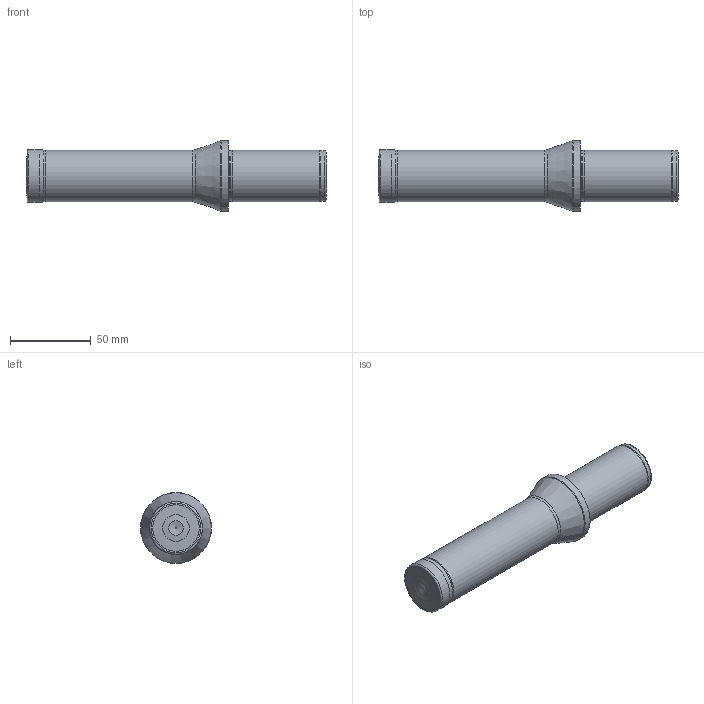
import cadquery as cq
import math


head_diameter = 32.7
head_back_diameter = 32.2
body_diameter = 32.0
relief_diameter = 31.5
flange_diameter = 44.0

ring_crest_radius = 4.5
ring_foot_radius = 8.2
face_cone_radius = 14.4
center_cone_depth = 1.0
center_flat_radius = 0.4
ring_foot_x = 0.45
face_x = 0.7
head_corner_radius = 1.0
head_land_end_x = 8.2
joint_x = 11.0

lead_in_diameter = 31.9
lead_in_length = 0.9
cone_start_x = 103.5
cone_blend_length = 1.7
cone_blend_rise = 0.4
cone_end_x = 120.5
cone_end_diameter = 43.8
flange_edge_break = 0.6
flange_end_x = 125.5
neck_fillet_radius = 0.6
neck_end_x = 126.9
neck_taper_end_x = 128.0
clamp_end_x = 182.1
end_step_x = 182.7
end_corner_radius = 1.0
overall_length = 186.0

ARC_MID = math.sqrt(0.5)


def turned(profile):
    """Revolve a closed (X, radius) profile about the X axis."""
    return profile.close().revolve(360, (0, 0, 0), (1, 0, 0))


def make_head():
    head_radius = head_diameter / 2
    corner = head_corner_radius
    corner_center = (face_x + corner, head_radius - corner)
    profile = (
        cq.Workplane("XY")
        .moveTo(center_cone_depth, 0)
        .lineTo(center_cone_depth, center_flat_radius)
        .lineTo(0, ring_crest_radius)
        .lineTo(ring_foot_x, ring_foot_radius)
        .lineTo(face_x, face_cone_radius)
        .lineTo(face_x, corner_center[1])
        .threePointArc(
            (corner_center[0] - corner * ARC_MID, corner_center[1] + corner * ARC_MID),
            (corner_center[0], head_radius),
        )
        .lineTo(head_land_end_x, head_radius)
        .lineTo(joint_x, head_back_diameter / 2)
        .lineTo(joint_x, 0)
    )
    return turned(profile)


def make_holder():
    body_radius = body_diameter / 2
    relief_radius = relief_diameter / 2
    flange_radius = flange_diameter / 2
    fillet = neck_fillet_radius
    fillet_center = (flange_end_x + fillet, relief_radius + fillet)
    corner = end_corner_radius
    corner_center = (overall_length - corner, relief_radius - corner)
    profile = (
        cq.Workplane("XY")
        .moveTo(joint_x, 0)
        .lineTo(joint_x, lead_in_diameter / 2)
        .lineTo(joint_x + lead_in_length, body_radius)
        .lineTo(cone_start_x, body_radius)
        .tangentArcPoint((cone_blend_length, cone_blend_rise))
        .lineTo(cone_end_x, cone_end_diameter / 2)
        .lineTo(cone_end_x + flange_edge_break, flange_radius)
        .lineTo(flange_end_x, flange_radius)
        .lineTo(flange_end_x, fillet_center[1])
        .threePointArc(
            (fillet_center[0] - fillet * ARC_MID, fillet_center[1] - fillet * ARC_MID),
            (fillet_center[0], relief_radius),
        )
        .lineTo(neck_end_x, relief_radius)
        .lineTo(neck_taper_end_x, body_radius)
        .lineTo(clamp_end_x, body_radius)
        .lineTo(end_step_x, relief_radius)
        .lineTo(corner_center[0], relief_radius)
        .threePointArc(
            (corner_center[0] + corner * ARC_MID, corner_center[1] + corner * ARC_MID),
            (overall_length, corner_center[1]),
        )
        .lineTo(overall_length, 0)
    )
    return turned(profile)


head = make_head()
holder = make_holder()
result = cq.Compound.makeCompound([head.val(), holder.val()])